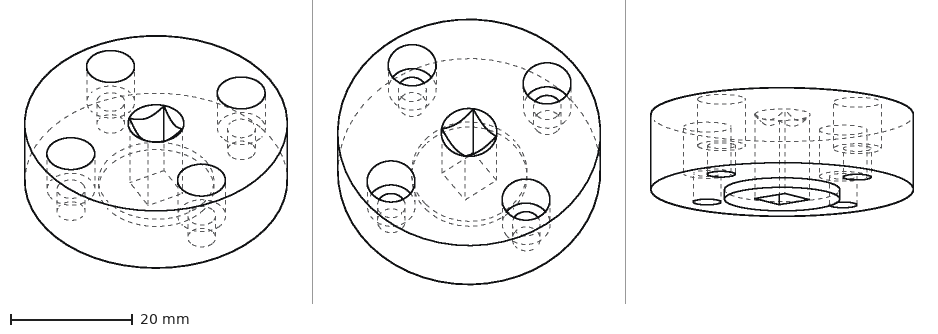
import cadquery as cq
import math

disc_diameter = 43.2
disc_height = 12.6
boss_diameter = 18.95
boss_height = 1.6

bolt_count = 4
bolt_circle_diameter = 31.75
bolt_hole_diameter = 4.58
counterbore_diameter = 7.85
counterbore_depth = 7.77

square_side = 6.4
lead_in_diameter = 9.15
lead_in_half_angle = 45.0

lead_in_depth = lead_in_diameter / 2 / math.tan(math.radians(lead_in_half_angle))


def make_body():
    """Disc standing on Z = 0 with the boss hanging below it."""
    disc = cq.Workplane("XY").circle(disc_diameter / 2).extrude(disc_height)
    boss = cq.Workplane("XY").circle(boss_diameter / 2).extrude(-boss_height)
    return disc.union(boss)


def cut_bolt_holes(body):
    """Counterbored through holes, opening on the top face."""
    return (
        body.faces(">Z")
        .workplane(origin=(0, 0, disc_height))
        .polarArray(bolt_circle_diameter / 2, 0, 360, bolt_count)
        .cboreHole(bolt_hole_diameter, counterbore_diameter, counterbore_depth)
    )


def cut_drive_hole(body):
    """Square hole through disc and boss, countersunk by a cone at the top."""
    square = (
        cq.Workplane("XY")
        .workplane(offset=-boss_height)
        .rect(square_side, square_side)
        .extrude(boss_height + disc_height)
    )
    cone = cq.Workplane(
        cq.Solid.makeCone(
            lead_in_diameter / 2,
            0,
            lead_in_depth,
            pnt=cq.Vector(0, 0, disc_height),
            dir=cq.Vector(0, 0, -1),
        )
    )
    return body.cut(square).cut(cone)


result = cut_drive_hole(cut_bolt_holes(make_body()))